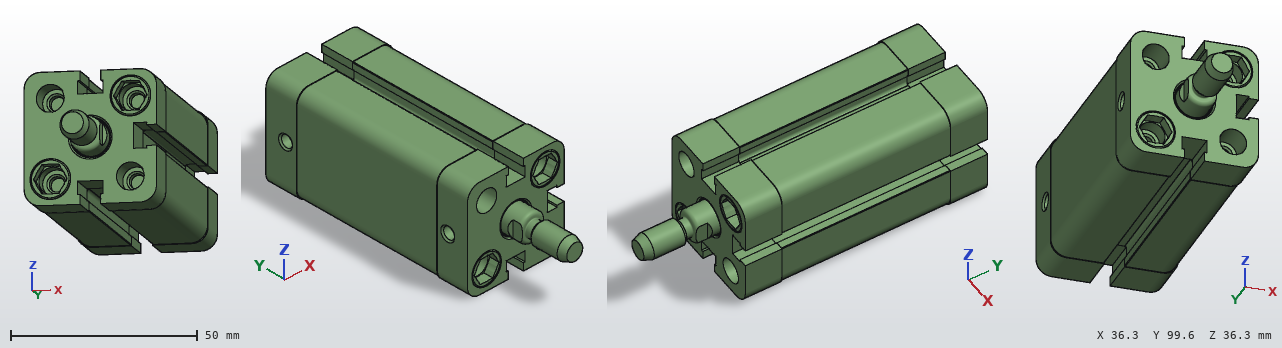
import cadquery as cq
import math


total_length = 99.6
rod_reach = 22.5
body_length = total_length - rod_reach
cap_length = 11.8
barrel_length = body_length - 2 * cap_length

cap_width = 36.3
cap_corner_radius = 4.5
barrel_width = 35.9
barrel_corner_radius = 4.6

slot_floor = cap_width / 2 - 6.3
slot_width = 7.0
lip_inner_height = cap_width / 2 - 2.7
cap_mouth_width = 5.7
barrel_mouth_width = 5.8
mouth_chamfer = 0.2
slot_angles = (0, 90, 180)
slot_corner_fillet = 1.1

mount_offset = 11.0
mount_bore_diameter = 7.6
mount_bore_depth = 8.0
thread_mouth_diameter = 5.3
thread_diameter = 4.2
thread_depth = 3.0

sleeve_groove_diameter = 11.1
sleeve_face_diameter = 10.3
sleeve_groove_depth = 0.5
hex_across_flats = 8.0
socket_relief_diameter = 8.2
socket_depth = 3.4

port_offset = 7.6
port_depth = 5.0
port_slot_height = 2.8
port_slot_depth = 6.0
rear_port_slot_end = 1.5

rod_diameter = 10.0
collar_fillet = 1.2
collar_reach = 6.6
neck_diameter = 5.8
neck_end = 9.0
neck_fillet = 0.3
stud_start = 9.9
stud_diameter = 8.0
tip_start = 19.8
tip_diameter = 6.0
flats_width = 8.0
flats_start = 3.0
passage_mouth_diameter = 12.0
passage_recess_diameter = 11.1
passage_groove_diameter = 10.5
passage_groove_depth = 1.5


def along_y(y):
    """Workplane across the cylinder at Y = y, with X and Z as its axes, extruding towards +Y."""
    return cq.Workplane(cq.Plane(origin=(0, y, 0), xDir=(-1, 0, 0), normal=(0, 1, 0)))


def turned(profile):
    """Solid of revolution about the Y axis from (radius, y) points."""
    return cq.Workplane("XY").polyline(profile).close().revolve(360, (0, 0, 0), (0, 1, 0))


def rounded_block(width, corner_radius, y, length):
    return along_y(y).rect(width, width).extrude(length).edges("|Y").fillet(corner_radius)


def mouth_bevel(y, length, top, half_mouth, chamfer):
    """Cutter for the chamfers on both rims of an upright slot."""
    profile = [
        (-half_mouth, top - chamfer),
        (half_mouth, top - chamfer),
        (half_mouth + chamfer, top),
        (-half_mouth - chamfer, top),
    ]
    return along_y(y).polyline(profile).close().extrude(length)


def slot(y, length, width, mouth_width, chamfer, fillet, angle):
    """Cutter for one slot: drawn opening upwards, then turned about Y to its side."""
    channel = along_y(y).center(0, (slot_floor + lip_inner_height) / 2)
    channel = channel.rect(slot_width, lip_inner_height - slot_floor).extrude(length)
    if fillet:
        channel = channel.edges("|Y and <Z").fillet(fillet)
    mouth = along_y(y).center(0, (slot_floor + width / 2) / 2)
    mouth = mouth.rect(mouth_width, width / 2 - slot_floor).extrude(length)
    if chamfer:
        mouth = mouth.union(mouth_bevel(y, length, width / 2, mouth_width / 2, chamfer))
    return channel.union(mouth).rotate((0, 0, 0), (0, 1, 0), angle)


def slotted_block(width, corner_radius, mouth_width, y, length, chamfer=0, fillet=0):
    block = rounded_block(width, corner_radius, y, length)
    for angle in slot_angles:
        block = block.cut(slot(y, length, width, mouth_width, chamfer, fillet, angle))
    return block


def port(y, slot_end):
    """Cutter for an air port in the -X side, with a slot in its floor up to slot_end beyond its axis."""
    sink = (thread_mouth_diameter - thread_diameter) / 2
    hole = turned([
        (0, 0),
        (thread_mouth_diameter / 2, 0),
        (thread_diameter / 2, sink),
        (thread_diameter / 2, port_depth),
        (0, port_depth),
    ])
    slot_start = -thread_diameter / 2
    slot_box = cq.Workplane("XY").box(
        port_slot_depth - port_depth, slot_end - slot_start, port_slot_height, centered=(False, False, True)
    )
    cutter = hole.rotate((0, 0, 0), (0, 0, 1), -90).union(slot_box.translate((port_depth, slot_start, 0)))
    return cutter.translate((-cap_width / 2, y, 0))


def mounting_hole():
    """Cutter for a plain bore with a countersunk threaded hole in its floor."""
    sink = (thread_mouth_diameter - thread_diameter) / 2
    return turned([
        (0, 0),
        (mount_bore_diameter / 2, 0),
        (mount_bore_diameter / 2, mount_bore_depth),
        (thread_mouth_diameter / 2, mount_bore_depth),
        (thread_diameter / 2, mount_bore_depth + sink),
        (thread_diameter / 2, mount_bore_depth + thread_depth),
        (0, mount_bore_depth + thread_depth),
    ])


def sleeve_socket():
    """Cutter for a ring groove around a hexagon socket that leads into a threaded bore."""
    groove = turned([
        (sleeve_face_diameter / 2, 0),
        (sleeve_groove_diameter / 2, 0),
        (sleeve_groove_diameter / 2, sleeve_groove_depth),
    ])
    across_corners = hex_across_flats / math.cos(math.pi / 6)
    hexagon = along_y(0).polygon(6, across_corners).extrude(socket_depth)
    relief = along_y(0).circle(socket_relief_diameter / 2).extrude(socket_depth)
    return groove.union(mounting_hole()).union(hexagon).union(relief)


def rod_passage():
    """Cutter for the rod hole and the stepped mouth around it."""
    sink = (passage_mouth_diameter - passage_recess_diameter) / 2
    return turned([
        (0, 0),
        (passage_mouth_diameter / 2, 0),
        (passage_recess_diameter / 2, sink),
        (passage_groove_diameter / 2, sink),
        (passage_groove_diameter / 2, passage_groove_depth),
        (rod_diameter / 2, passage_groove_depth),
        (rod_diameter / 2, cap_length),
        (0, cap_length),
    ])


def make_cap(y):
    return slotted_block(cap_width, cap_corner_radius, cap_mouth_width, y, cap_length)


def make_front_cap():
    cap = make_cap(0).cut(port(port_offset, thread_diameter / 2)).cut(rod_passage())
    for side in (-1, 1):
        cap = cap.cut(mounting_hole().translate((side * mount_offset, 0, -side * mount_offset)))
        cap = cap.cut(sleeve_socket().translate((side * mount_offset, 0, side * mount_offset)))
    return cap


def make_barrel():
    return slotted_block(
        barrel_width, barrel_corner_radius, barrel_mouth_width,
        cap_length, barrel_length, mouth_chamfer, slot_corner_fillet,
    )


def make_rear_cap():
    return make_cap(body_length - cap_length).cut(port(body_length - port_offset, rear_port_slot_end))


def make_rod():
    collar = along_y(-collar_reach).circle(rod_diameter / 2).extrude(collar_reach + cap_length)
    collar = collar.faces("<Y").edges().fillet(collar_fillet)
    neck_radius = neck_diameter / 2
    stud = (
        cq.Workplane("XY")
        .moveTo(0, -collar_reach)
        .lineTo(neck_radius + neck_fillet, -collar_reach)
        .radiusArc((neck_radius, -collar_reach - neck_fillet), -neck_fillet)
        .lineTo(neck_radius, -neck_end + neck_fillet)
        .radiusArc((neck_radius + neck_fillet, -neck_end), -neck_fillet)
        .lineTo(stud_diameter / 2, -stud_start)
        .lineTo(stud_diameter / 2, -tip_start)
        .lineTo(tip_diameter / 2, -rod_reach)
        .lineTo(0, -rod_reach)
        .close()
        .revolve(360, (0, 0, 0), (0, 1, 0))
    )
    run_out = (rod_diameter - flats_width) / 2
    flat = (
        cq.Workplane("XY")
        .polyline([
            (flats_width / 2, -flats_start),
            (rod_diameter / 2, run_out - flats_start),
            (rod_diameter / 2, -collar_reach),
            (flats_width / 2, -collar_reach),
        ])
        .close()
        .extrude(rod_diameter / 2, both=True)
    )
    return collar.cut(flat).cut(flat.mirror("YZ")).union(stud)


front_cap = make_front_cap()
barrel = make_barrel()
rear_cap = make_rear_cap()
rod = make_rod()

result = cq.Compound.makeCompound([front_cap.val(), barrel.val(), rear_cap.val(), rod.val()])